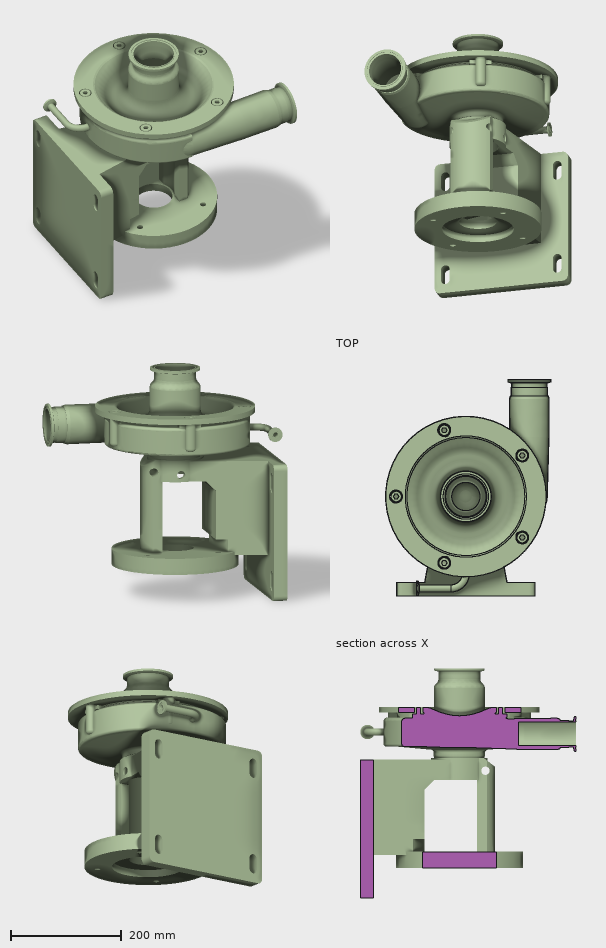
import cadquery as cq
import math


PLATE_SIZE = 250.0
PLATE_THICKNESS = 25.0
PLATE_FRONT_Y = -180.0
PLATE_BACK_Y = PLATE_FRONT_Y + PLATE_THICKNESS
PLATE_CORNER_RADIUS = 10.0
SLOT_SPACING_X = 210.0
SLOT_SPACING_Z = 180.0
SLOT_LENGTH = 36.0
SLOT_WIDTH = 16.0

BRACKET_BORE_RADIUS = 37.5
BRACKET_TOP_Z = 253.0
RING_RADIUS = 51.0
RING_BOTTOM_Z = 213.0
RING_HOLE_Z = 226.0
CROSS_HOLE_DIAMETER = 15.0

ARM_ROOT_HALF_WIDTH = 74.5
ARM_TIP_Y = -16.0
ARM_BOTTOM_Z = 77.5
ARM_WINDOW_Y = -63.0
ARM_WINDOW_CHAMFER = 17.5

COLUMN_HALF_WIDTH = 37.0
COLUMN_INNER_Y = 32.0
COLUMN_EDGE_Y = 49.4
COLUMN_OUTER_Y = 64.0
COLUMN_CHAMFER_Y = 20.0
COLUMN_CHAMFER_Z = 15.5
COLUMN_HOLE_Y = 47.0
COLUMN_HOLE_Z = 230.0

MOTOR_FLANGE_RADIUS = 115.0
MOTOR_FLANGE_TOP_Z = 84.0
MOTOR_FLANGE_THICKNESS = 29.5
MOTOR_BOLT_CIRCLE_RADIUS = 92.6
MOTOR_BOLT_DIAMETER = 11.0
MOTOR_BOLT_COUNT = 4
MOTOR_BOLT_FIRST_ANGLE = 45.0
MOTOR_BORE_RADIUS = 34.0
MOTOR_SPIGOT_RADIUS = 65.0
MOTOR_SPIGOT_DEPTH = 13.5
ARM_RELIEF_Y = -84.0
ARM_RELIEF_HEIGHT = 22.3

VOLUTE_CENTRE_X = 4.2
VOLUTE_CENTRE_Y = -1.8
VOLUTE_START_RADIUS = 130.7
VOLUTE_STEP = 3.0
VOLUTE_BOTTOM_Z = 274.0
VOLUTE_TOP_Z = 326.0
VOLUTE_BOTTOM_FILLET = 4.2
VOLUTE_TOP_FILLET = 6.5
BACK_CONE_RADIUS = 118.0
BACK_CONE_BOTTOM_Z = 268.0
NECK_RADIUS = 46.5
NECK_FILLET = 5.0
NECK_SHOULDER_Z = 256.0
NECK_FOOT_RADIUS = 45.5

COVER_RADIUS = 145.0
COVER_THICKNESS = 10.0
COVER_TOP_Z = 345.0
COVER_BOTTOM_Z = COVER_TOP_Z - COVER_THICKNESS
RIM_RADIUS = 112.5
COVER_LIP_WIDTH = 1.0
DISH_EDGE_CHAMFER = 1.5
DISH_DEPTH = 25.0
DISH_FILLET = 17.0
DISH_WALL_ANGLE = 45.0
DISH_FLOOR_RADIUS = 76.0
INLET_BASE_RADIUS = 46.0
INLET_BASE_FILLET = 20.0
INLET_CONE_BOTTOM_Z = 379.6
INLET_CONE_TOP_Z = 395.6
INLET_PIPE_RADIUS = 38.0
INLET_TOP_Z = 415.0
INLET_BORE_RADIUS = 36.5
INLET_BORE_END_Z = 375.0
INLET_CHAMBER_RADIUS = 42.0
INLET_FLANGE_RADIUS = 45.5
INLET_FLOOR_Z = 320.0
BOWL_RADIUS = 25.6
BOWL_FLOOR_RADIUS = 11.0
BOWL_DEPTH = BOWL_RADIUS - BOWL_FLOOR_RADIUS

FERRULE_LIP = 4.0
FERRULE_TAPER = 2.0
GASKET_GROOVE_INSET = 4.5
GASKET_GROOVE_WIDTH = 3.0
GASKET_GROOVE_DEPTH = 1.5

SCREW_CIRCLE_RADIUS = 126.0
SCREW_COUNT = 5
SCREW_FIRST_ANGLE = 36.0
POST_RADIUS = 9.6
POST_BOTTOM_Z = 282.5
POST_FILLET = 5.5
SCREW_CLEARANCE_RADIUS = 11.5
SOCKET_DIAMETER = 10.0
SOCKET_DEPTH = 6.0
SOCKET_SIDES = 6
LUG_WIDTH = 40.0
LUG_INNER_RADIUS = 109.0
LUG_TOP_Z = 333.0

OUTLET_X = 114.65
OUTLET_Z = 297.0
OUTLET_END_Y = 211.0
OUTLET_FLANGE_RADIUS = 38.75
OUTLET_PIPE_RADIUS = 32.2
OUTLET_BORE_RADIUS = 30.0
OUTLET_THROAT_RADIUS = 32.5
OUTLET_CAST_RADIUS = 36.0
OUTLET_JOINT_Y = 107.0
OUTLET_JOINT_RADIUS = 35.6
OUTLET_SLEEVE_RADIUS = 33.0
OUTLET_SLEEVE_Y = 197.0
OUTLET_COLLAR_RADIUS = 34.5
OUTLET_COLLAR_Y = 181.5
OUTLET_CAST_Y = 175.5

DRAIN_Y = -166.0
DRAIN_Z = 300.0
DRAIN_END_X = -89.0
DRAIN_BEND_RADIUS = 27.0
DRAIN_PIPE_RADIUS = 6.4
DRAIN_BORE_RADIUS = 4.5
DRAIN_FLANGE_RADIUS = 13.0
DRAIN_LIP = 3.0


def cylinder(radius, z_low, z_high, x=0.0, y=0.0):
    return cq.Workplane("XY", origin=(x, y, z_low)).circle(radius).extrude(z_high - z_low)


def foot_plate():
    centre_z = PLATE_SIZE / 2
    plate = (
        cq.Workplane("XZ", origin=(0, PLATE_BACK_Y, centre_z))
        .rect(PLATE_SIZE, PLATE_SIZE)
        .extrude(PLATE_THICKNESS)
        .edges("|Y")
        .fillet(PLATE_CORNER_RADIUS)
    )
    slots = (
        cq.Workplane("XZ", origin=(0, PLATE_BACK_Y, centre_z))
        .rect(SLOT_SPACING_X, SLOT_SPACING_Z, forConstruction=True)
        .vertices()
        .slot2D(SLOT_LENGTH, SLOT_WIDTH, 90)
        .extrude(PLATE_THICKNESS)
    )
    return plate.cut(slots)


def arm_half_width(y):
    """Half width of the arm, which tapers from the foot plate to the bearing ring."""
    tip_half_width = math.sqrt(RING_RADIUS**2 - ARM_TIP_Y**2)
    fraction = (y - PLATE_BACK_Y) / (ARM_TIP_Y - PLATE_BACK_Y)
    return ARM_ROOT_HALF_WIDTH + fraction * (tip_half_width - ARM_ROOT_HALF_WIDTH)


def bracket_arm():
    tip_half_width = arm_half_width(ARM_TIP_Y)
    plan = (
        cq.Workplane("XY", origin=(0, 0, ARM_BOTTOM_Z))
        .polyline(
            [
                (-ARM_ROOT_HALF_WIDTH, PLATE_BACK_Y),
                (ARM_ROOT_HALF_WIDTH, PLATE_BACK_Y),
                (tip_half_width, ARM_TIP_Y),
                (-tip_half_width, ARM_TIP_Y),
            ]
        )
        .close()
        .extrude(PLATE_SIZE - ARM_BOTTOM_Z)
    )
    side = (
        cq.Workplane("YZ")
        .polyline(
            [
                (PLATE_BACK_Y, ARM_BOTTOM_Z),
                (ARM_WINDOW_Y, ARM_BOTTOM_Z),
                (ARM_WINDOW_Y, RING_BOTTOM_Z - ARM_WINDOW_CHAMFER),
                (ARM_WINDOW_Y + ARM_WINDOW_CHAMFER, RING_BOTTOM_Z),
                (ARM_TIP_Y, RING_BOTTOM_Z),
                (ARM_TIP_Y, PLATE_SIZE),
                (PLATE_BACK_Y, PLATE_SIZE),
            ]
        )
        .close()
        .extrude(ARM_ROOT_HALF_WIDTH, both=True)
    )
    relief_slope = (ARM_WINDOW_Y - ARM_RELIEF_Y) / arm_half_width(ARM_RELIEF_Y)
    relief_y = ARM_WINDOW_Y - relief_slope * ARM_ROOT_HALF_WIDTH
    relief = (
        cq.Workplane("XY", origin=(0, 0, MOTOR_FLANGE_TOP_Z))
        .polyline(
            [
                (0, ARM_WINDOW_Y),
                (ARM_ROOT_HALF_WIDTH, relief_y),
                (ARM_ROOT_HALF_WIDTH, ARM_TIP_Y),
                (-ARM_ROOT_HALF_WIDTH, ARM_TIP_Y),
                (-ARM_ROOT_HALF_WIDTH, relief_y),
            ]
        )
        .close()
        .extrude(ARM_RELIEF_HEIGHT)
    )
    return plan.intersect(side).cut(relief)


def bracket_column():
    column = (
        cq.Workplane("XY", origin=(0, 0, MOTOR_FLANGE_TOP_Z))
        .moveTo(-COLUMN_HALF_WIDTH, COLUMN_INNER_Y)
        .lineTo(COLUMN_HALF_WIDTH, COLUMN_INNER_Y)
        .lineTo(COLUMN_HALF_WIDTH, COLUMN_EDGE_Y)
        .threePointArc((0, COLUMN_OUTER_Y), (-COLUMN_HALF_WIDTH, COLUMN_EDGE_Y))
        .close()
        .extrude(BRACKET_TOP_Z - MOTOR_FLANGE_TOP_Z)
    )
    chamfer = (
        cq.Workplane("YZ")
        .polyline(
            [
                (COLUMN_OUTER_Y, BRACKET_TOP_Z),
                (COLUMN_OUTER_Y, BRACKET_TOP_Z - COLUMN_CHAMFER_Z),
                (COLUMN_OUTER_Y - COLUMN_CHAMFER_Y, BRACKET_TOP_Z),
            ]
        )
        .close()
        .extrude(COLUMN_HALF_WIDTH, both=True)
    )
    return column.cut(chamfer)


def bracket():
    flange_bottom_z = MOTOR_FLANGE_TOP_Z - MOTOR_FLANGE_THICKNESS
    spigot_top_z = flange_bottom_z + MOTOR_SPIGOT_DEPTH
    bolts = None
    for index in range(MOTOR_BOLT_COUNT):
        angle = math.radians(MOTOR_BOLT_FIRST_ANGLE + index * 360 / MOTOR_BOLT_COUNT)
        x = MOTOR_BOLT_CIRCLE_RADIUS * math.cos(angle)
        y = MOTOR_BOLT_CIRCLE_RADIUS * math.sin(angle)
        bolt = cylinder(MOTOR_BOLT_DIAMETER / 2, flange_bottom_z, MOTOR_FLANGE_TOP_Z, x, y)
        bolts = bolt if bolts is None else bolts.union(bolt)
    ring_hole = (
        cq.Workplane("YZ", origin=(0, 0, RING_HOLE_Z))
        .circle(CROSS_HOLE_DIAMETER / 2)
        .extrude(-RING_RADIUS)
    )
    body = (
        cylinder(MOTOR_FLANGE_RADIUS, flange_bottom_z, MOTOR_FLANGE_TOP_Z)
        .union(bracket_arm())
        .union(cylinder(RING_RADIUS, RING_BOTTOM_Z, BRACKET_TOP_Z))
        .union(bracket_column())
    )
    column_hole = (
        cq.Workplane("YZ", origin=(0, COLUMN_HOLE_Y, COLUMN_HOLE_Z))
        .circle(CROSS_HOLE_DIAMETER / 2)
        .extrude(RING_RADIUS, both=True)
    )
    bore = (
        cylinder(BRACKET_BORE_RADIUS, MOTOR_FLANGE_TOP_Z, BRACKET_TOP_Z)
        .union(cylinder(MOTOR_BORE_RADIUS, spigot_top_z, MOTOR_FLANGE_TOP_Z))
        .union(cylinder(MOTOR_SPIGOT_RADIUS, flange_bottom_z, spigot_top_z))
    )
    return body.cut(bore).cut(bolts).cut(ring_hole).cut(column_hole)


def arc_point(centre, radius, degrees):
    angle = math.radians(degrees)
    return (centre[0] + radius * math.cos(angle), centre[1] + radius * math.sin(angle))


def volute():
    """Spiral of three tangent arcs whose centres lie on the corners of a small square."""
    offset = VOLUTE_STEP / 2
    first_centre = (VOLUTE_CENTRE_X - offset, VOLUTE_CENTRE_Y - offset)
    second_centre = (VOLUTE_CENTRE_X + offset, VOLUTE_CENTRE_Y - offset)
    third_centre = (VOLUTE_CENTRE_X + offset, VOLUTE_CENTRE_Y + offset)
    first_radius = VOLUTE_START_RADIUS
    second_radius = first_radius + VOLUTE_STEP
    third_radius = second_radius + VOLUTE_STEP
    tongue_angle = math.degrees(math.asin(VOLUTE_STEP / first_radius))
    casing = (
        cq.Workplane("XY", origin=(0, 0, VOLUTE_BOTTOM_Z))
        .moveTo(*arc_point(first_centre, first_radius, tongue_angle))
        .threePointArc(
            arc_point(first_centre, first_radius, 90),
            arc_point(first_centre, first_radius, 180),
        )
        .threePointArc(
            arc_point(second_centre, second_radius, 225),
            arc_point(second_centre, second_radius, 270),
        )
        .threePointArc(
            arc_point(third_centre, third_radius, 315),
            arc_point(third_centre, third_radius, 360),
        )
        .close()
        .extrude(VOLUTE_TOP_Z - VOLUTE_BOTTOM_Z)
    )
    casing = casing.faces(">Z").edges("%CIRCLE").fillet(VOLUTE_TOP_FILLET)
    casing = casing.faces("<Z").edges("%CIRCLE").fillet(VOLUTE_BOTTOM_FILLET)
    return casing.cut(cylinder(RIM_RADIUS, VOLUTE_BOTTOM_Z, VOLUTE_TOP_Z))


def back_cone_and_neck():
    return (
        cq.Workplane("XZ")
        .moveTo(0, VOLUTE_BOTTOM_Z)
        .lineTo(BACK_CONE_RADIUS, VOLUTE_BOTTOM_Z)
        .lineTo(NECK_RADIUS + NECK_FILLET, BACK_CONE_BOTTOM_Z)
        .radiusArc((NECK_RADIUS, BACK_CONE_BOTTOM_Z - NECK_FILLET), -NECK_FILLET)
        .lineTo(NECK_RADIUS, NECK_SHOULDER_Z)
        .lineTo(NECK_FOOT_RADIUS, NECK_SHOULDER_Z)
        .lineTo(NECK_FOOT_RADIUS, BRACKET_TOP_Z)
        .lineTo(0, BRACKET_TOP_Z)
        .close()
        .revolve(360, (0, 0, 0), (0, 1, 0))
    )


def cover_and_inlet():
    dish_floor_z = COVER_TOP_Z - DISH_DEPTH
    wall_angle = math.radians(DISH_WALL_ANGLE)
    wall_foot_radius = DISH_FLOOR_RADIUS + DISH_FILLET * math.sin(wall_angle)
    wall_foot_z = dish_floor_z + DISH_FILLET * (1 - math.cos(wall_angle))
    wall_mid_angle = wall_angle / 2
    wall_mid_radius = DISH_FLOOR_RADIUS + DISH_FILLET * math.sin(wall_mid_angle)
    wall_mid_z = dish_floor_z + DISH_FILLET * (1 - math.cos(wall_mid_angle))
    wall_height = COVER_TOP_Z - DISH_EDGE_CHAMFER - wall_foot_z
    wall_top_radius = wall_foot_radius + wall_height / math.tan(wall_angle)
    base_mid = INLET_BASE_FILLET * (1 - math.cos(math.radians(45)))
    return (
        cq.Workplane("XZ")
        .moveTo(0, VOLUTE_BOTTOM_Z)
        .lineTo(RIM_RADIUS, VOLUTE_BOTTOM_Z)
        .lineTo(RIM_RADIUS, LUG_TOP_Z)
        .lineTo(RIM_RADIUS + COVER_LIP_WIDTH, LUG_TOP_Z)
        .lineTo(RIM_RADIUS + COVER_LIP_WIDTH, COVER_BOTTOM_Z)
        .lineTo(COVER_RADIUS, COVER_BOTTOM_Z)
        .lineTo(COVER_RADIUS, COVER_TOP_Z)
        .lineTo(wall_top_radius + 2 * DISH_EDGE_CHAMFER, COVER_TOP_Z)
        .lineTo(wall_top_radius, COVER_TOP_Z - DISH_EDGE_CHAMFER)
        .lineTo(wall_foot_radius, wall_foot_z)
        .threePointArc((wall_mid_radius, wall_mid_z), (DISH_FLOOR_RADIUS, dish_floor_z))
        .lineTo(INLET_BASE_RADIUS + INLET_BASE_FILLET, dish_floor_z)
        .threePointArc(
            (INLET_BASE_RADIUS + base_mid, dish_floor_z + base_mid),
            (INLET_BASE_RADIUS, dish_floor_z + INLET_BASE_FILLET),
        )
        .lineTo(INLET_BASE_RADIUS, INLET_CONE_BOTTOM_Z)
        .spline(
            [(INLET_PIPE_RADIUS, INLET_CONE_TOP_Z)],
            tangents=[(0, 1), (0, 1)],
            includeCurrent=True,
        )
        .lineTo(INLET_PIPE_RADIUS, INLET_TOP_Z)
        .lineTo(0, INLET_TOP_Z)
        .close()
        .revolve(360, (0, 0, 0), (0, 1, 0))
    )


def ferrule(flange_radius, pipe_radius, lip):
    """Clamp flange along +Z with its sealing face at Z = 0 and a gasket groove in it."""
    groove_outer_radius = flange_radius - GASKET_GROOVE_INSET
    flange = (
        cq.Workplane("XZ")
        .polyline(
            [
                (0, 0),
                (flange_radius, 0),
                (flange_radius, -lip),
                (pipe_radius, -lip - FERRULE_TAPER),
                (0, -lip - FERRULE_TAPER),
            ]
        )
        .close()
        .revolve(360, (0, 0, 0), (0, 1, 0))
    )
    groove = (
        cq.Workplane("XY")
        .circle(groove_outer_radius)
        .circle(groove_outer_radius - GASKET_GROOVE_WIDTH)
        .extrude(-GASKET_GROOVE_DEPTH)
    )
    return flange.cut(groove)


def inlet_passage():
    bowl_bottom_z = INLET_FLOOR_Z - BOWL_DEPTH
    bowl_mid = BOWL_DEPTH * math.cos(math.radians(45))
    return (
        cq.Workplane("XZ")
        .moveTo(0, INLET_TOP_Z)
        .lineTo(INLET_BORE_RADIUS, INLET_TOP_Z)
        .lineTo(INLET_BORE_RADIUS, INLET_BORE_END_Z)
        .lineTo(INLET_CHAMBER_RADIUS, INLET_BORE_END_Z)
        .lineTo(INLET_CHAMBER_RADIUS, INLET_FLOOR_Z)
        .lineTo(BOWL_RADIUS, INLET_FLOOR_Z)
        .threePointArc(
            (BOWL_FLOOR_RADIUS + bowl_mid, INLET_FLOOR_Z - bowl_mid),
            (BOWL_FLOOR_RADIUS, bowl_bottom_z),
        )
        .lineTo(0, bowl_bottom_z)
        .close()
        .revolve(360, (0, 0, 0), (0, 1, 0))
    )


def screw_angles():
    return [SCREW_FIRST_ANGLE + index * 360 / SCREW_COUNT for index in range(SCREW_COUNT)]


def screw_lug(angle):
    length = SCREW_CIRCLE_RADIUS - LUG_INNER_RADIUS
    lug = (
        cq.Workplane("XY", origin=(LUG_INNER_RADIUS + length / 2, 0, VOLUTE_TOP_Z))
        .rect(length, LUG_WIDTH)
        .extrude(LUG_TOP_Z - VOLUTE_TOP_Z)
    )
    return lug.rotate((0, 0, 0), (0, 0, 1), angle)


def screw_post(angle):
    x, y = arc_point((0, 0), SCREW_CIRCLE_RADIUS, angle)
    post = cylinder(POST_RADIUS, POST_BOTTOM_Z, COVER_TOP_Z, x, y)
    post = post.faces("<Z").fillet(POST_FILLET)
    return post.faces(">Z").workplane().polygon(SOCKET_SIDES, SOCKET_DIAMETER).cutBlind(-SOCKET_DEPTH)


def outlet():
    profile = (
        cq.Workplane("XY", origin=(OUTLET_X, 0, OUTLET_Z))
        .polyline(
            [
                (0, 0),
                (OUTLET_THROAT_RADIUS, 0),
                (OUTLET_JOINT_RADIUS, OUTLET_JOINT_Y),
                (OUTLET_CAST_RADIUS, OUTLET_CAST_Y),
                (OUTLET_COLLAR_RADIUS, OUTLET_COLLAR_Y),
                (OUTLET_SLEEVE_RADIUS, OUTLET_COLLAR_Y),
                (OUTLET_SLEEVE_RADIUS, OUTLET_SLEEVE_Y),
                (OUTLET_PIPE_RADIUS, OUTLET_SLEEVE_Y),
                (OUTLET_PIPE_RADIUS, OUTLET_END_Y),
                (0, OUTLET_END_Y),
            ]
        )
        .close()
    )
    tube = profile.revolve(360, (0, 0, 0), (0, 1, 0))
    flange = (
        ferrule(OUTLET_FLANGE_RADIUS, OUTLET_PIPE_RADIUS, FERRULE_LIP)
        .rotate((0, 0, 0), (1, 0, 0), -90)
        .translate((OUTLET_X, OUTLET_END_Y, OUTLET_Z))
    )
    rounded_end = cq.Workplane("XY").sphere(OUTLET_THROAT_RADIUS)
    rounded_end = rounded_end.translate((OUTLET_X, 0, OUTLET_Z))
    return tube.union(rounded_end).union(flange)


def outlet_bore():
    return (
        cq.Workplane("XZ", origin=(OUTLET_X, OUTLET_END_Y, OUTLET_Z))
        .circle(OUTLET_BORE_RADIUS)
        .extrude(OUTLET_END_Y - OUTLET_JOINT_Y)
    )


def drain():
    """Pipe leaving the casing along -Y and turning through an elbow to -X."""
    bend_end_y = DRAIN_Y + DRAIN_BEND_RADIUS
    inner_end_y = -VOLUTE_START_RADIUS
    bend_offset = DRAIN_BEND_RADIUS * math.sin(math.radians(45))
    path = (
        cq.Workplane("XY", origin=(0, 0, DRAIN_Z))
        .moveTo(DRAIN_END_X, DRAIN_Y)
        .lineTo(-DRAIN_BEND_RADIUS, DRAIN_Y)
        .threePointArc(
            (-DRAIN_BEND_RADIUS + bend_offset, bend_end_y - bend_offset),
            (0, bend_end_y),
        )
        .lineTo(0, inner_end_y)
    )
    start = cq.Workplane("YZ", origin=(DRAIN_END_X, DRAIN_Y, DRAIN_Z))
    pipe = start.circle(DRAIN_PIPE_RADIUS).sweep(path)
    bore = start.circle(DRAIN_BORE_RADIUS).extrude(-DRAIN_BEND_RADIUS - DRAIN_END_X)
    flange = (
        ferrule(DRAIN_FLANGE_RADIUS, DRAIN_PIPE_RADIUS, DRAIN_LIP)
        .rotate((0, 0, 0), (0, 1, 0), -90)
        .translate((DRAIN_END_X, DRAIN_Y, DRAIN_Z))
    )
    return pipe.union(flange).cut(bore)


def pump():
    inlet_ferrule = ferrule(INLET_FLANGE_RADIUS, INLET_PIPE_RADIUS, FERRULE_LIP)
    body = volute().union(back_cone_and_neck()).union(outlet())
    body = body.union(cover_and_inlet())
    body = body.union(inlet_ferrule.translate((0, 0, INLET_TOP_Z)))
    for angle in screw_angles():
        x, y = arc_point((0, 0), SCREW_CIRCLE_RADIUS, angle)
        body = body.union(screw_lug(angle))
        body = body.cut(cylinder(SCREW_CLEARANCE_RADIUS, COVER_BOTTOM_Z, COVER_TOP_Z, x, y))
        body = body.union(screw_post(angle))
    return body.cut(inlet_passage()).cut(outlet_bore()).union(drain())


result = foot_plate().union(bracket()).union(pump())